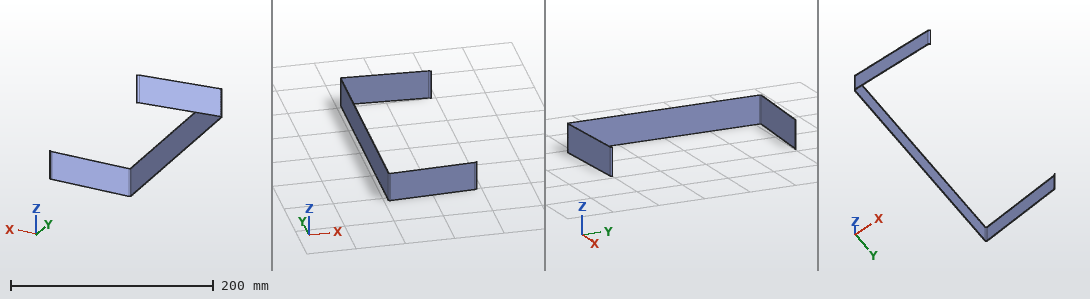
import cadquery as cq
import math

DEPTH = 91.2
WIDTH = 213.0
HEIGHT = 30.0
THICKNESS = 0.8
CORNER_RADIUS = 1.7
ARM_ANGLE = 3.0
LIP_RADIUS = 3.6
LIP_END_ANGLE = 55.0


def polar_point(center, radius, angle):
    """Point on a circle, with the angle in degrees from +X."""
    turn = math.radians(angle)
    return (center[0] + radius * math.cos(turn), center[1] + radius * math.sin(turn))


back_normal = 180.0
arm_normal = 90.0 - ARM_ANGLE
lip_normal = 90.0 - LIP_END_ANGLE
corner_middle = (back_normal + arm_normal) / 2
lip_middle = (arm_normal + lip_normal) / 2

corner_center = (CORNER_RADIUS, WIDTH / 2 - CORNER_RADIUS)
lip_center_x = DEPTH - LIP_RADIUS * math.cos(math.radians(lip_normal))
arm_slope = math.tan(math.radians(ARM_ANGLE))
radius_step = (LIP_RADIUS - CORNER_RADIUS) / math.cos(math.radians(ARM_ANGLE))
lip_center_y = corner_center[1] - (lip_center_x - corner_center[0]) * arm_slope - radius_step
lip_center = (lip_center_x, lip_center_y)

corner_inner_radius = CORNER_RADIUS - THICKNESS
lip_inner_radius = LIP_RADIUS - THICKNESS

half_profile = (
    cq.Workplane("XY")
    .moveTo(0, 0)
    .lineTo(*polar_point(corner_center, CORNER_RADIUS, back_normal))
    .threePointArc(
        polar_point(corner_center, CORNER_RADIUS, corner_middle),
        polar_point(corner_center, CORNER_RADIUS, arm_normal),
    )
    .lineTo(*polar_point(lip_center, LIP_RADIUS, arm_normal))
    .threePointArc(
        polar_point(lip_center, LIP_RADIUS, lip_middle),
        polar_point(lip_center, LIP_RADIUS, lip_normal),
    )
    .lineTo(*polar_point(lip_center, lip_inner_radius, lip_normal))
    .threePointArc(
        polar_point(lip_center, lip_inner_radius, lip_middle),
        polar_point(lip_center, lip_inner_radius, arm_normal),
    )
    .lineTo(*polar_point(corner_center, corner_inner_radius, arm_normal))
    .threePointArc(
        polar_point(corner_center, corner_inner_radius, corner_middle),
        polar_point(corner_center, corner_inner_radius, back_normal),
    )
    .lineTo(THICKNESS, 0)
    .close()
)
half_strip = half_profile.extrude(HEIGHT)

result = half_strip.union(half_strip.mirror("XZ")).clean()